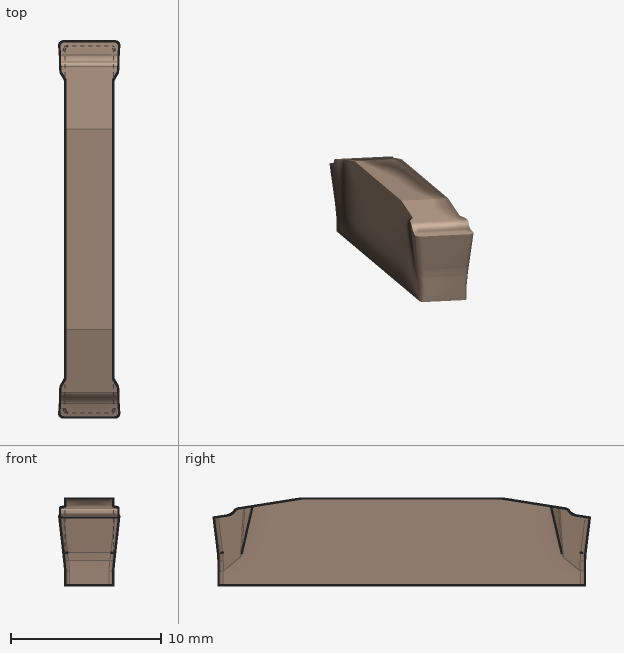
import cadquery as cq
import math


overall_length = 25.02
overall_height = 5.79
cutting_width = 4.0
body_width = 3.2

top_flat_length = 13.34
top_slope = math.tan(math.radians(9))
step_start_y = 10.83
step_inflection_y = 11.13
step_end_y = 11.58

cutting_edge_height = 4.52
end_relief = math.radians(7)
relief_bottom = 2.18
relief_blend_bottom = 1.66
corner_radius = 0.3

flank_back_slope = math.tan(math.radians(4.75))
head_root_y = 10.69
head_root_z = 1.91

neck_flare_slope = math.tan(math.radians(59))
neck_back_slope = 0.23
neck_edge_radius = 0.2

trim_allowance = 1.0

selection_tolerance = 0.05

half_length = overall_length / 2
half_body_width = body_width / 2
relief_y = half_length - (cutting_edge_height - relief_bottom) * math.tan(end_relief)
base_end_y = relief_y - (relief_bottom - relief_blend_bottom) * math.tan(end_relief / 2)

widest_y = half_length - corner_radius
widest_z = cutting_edge_height + corner_radius * top_slope
flank_drop = cutting_width / 2 - half_body_width - flank_back_slope * (widest_y - head_root_y)
flank_drop_slope = flank_drop / (widest_z - head_root_z)


def half_profile():
    """Outline of the +Y half in the YZ plane."""
    flat_end_y = top_flat_length / 2
    step_start_z = overall_height - (step_start_y - flat_end_y) * top_slope
    step_end_z = cutting_edge_height + (half_length - step_end_y) * top_slope
    inflection_share = (step_end_y - step_inflection_y) / (step_end_y - step_start_y)
    inflection_z = step_end_z + inflection_share * (step_start_z - step_end_z)
    return (
        cq.Workplane("YZ")
        .moveTo(0, 0)
        .lineTo(0, overall_height)
        .lineTo(flat_end_y, overall_height)
        .lineTo(step_start_y, step_start_z)
        .tangentArcPoint((step_inflection_y, inflection_z), relative=False)
        .tangentArcPoint((step_end_y, step_end_z), relative=False)
        .lineTo(half_length, cutting_edge_height)
        .lineTo(relief_y, relief_bottom)
        .tangentArcPoint((base_end_y, relief_blend_bottom), relative=False)
        .lineTo(base_end_y, 0)
        .close()
    )


def flank_x(y, z):
    """Half width of the head on its flank plane."""
    return (
        cutting_width / 2
        + flank_back_slope * (y - widest_y)
        + flank_drop_slope * (z - widest_z)
    )


def neck_y(x, z):
    """Y of the neck plane; it meets the body side and the flank at the head root."""
    return (
        head_root_y
        - neck_back_slope * (z - head_root_z)
        + neck_flare_slope * (x - half_body_width)
    )


def neck_edge(z):
    """Point at height z where the neck plane meets the flank plane."""
    y = neck_y(flank_x(0, z), z) / (1 - neck_flare_slope * flank_back_slope)
    return (flank_x(y, z), y)


def head_section(z):
    """Corners of the head blank at height z, ordered around the section."""
    outer_y = half_length + trim_allowance
    right_side = [neck_edge(z), (flank_x(outer_y, z), outer_y)]
    left_side = [(-x, y) for x, y in reversed(right_side)]
    return [(0, neck_y(0, z))] + right_side + left_side


def is_end_corner(edge):
    """True for the corner edges of the end face, which run down both of its sides."""
    middle = edge.Center()
    beyond_end = middle.y > base_end_y - selection_tolerance
    off_centre = abs(middle.x) > half_body_width / 2
    return beyond_end and off_centre


def round_end_corners(solid):
    corners = [edge for edge in solid.edges().vals() if is_end_corner(edge)]
    return solid.newObject(corners).fillet(corner_radius)


def half_body():
    return round_end_corners(half_profile().extrude(half_body_width, both=True))


def head():
    blank = (
        cq.Workplane("XY")
        .polyline(head_section(0))
        .close()
        .workplane(offset=overall_height)
        .polyline(head_section(overall_height))
        .close()
        .loft(ruled=True)
    )
    middle_z = overall_height / 2
    edge_x, edge_y = neck_edge(middle_z)
    for side in (-1, 1):
        edge_point = (side * edge_x, edge_y, middle_z)
        blank = blank.edges(cq.selectors.NearestToPointSelector(edge_point)).fillet(neck_edge_radius)
    full_width_profile = half_profile().extrude(cutting_width / 2 + trim_allowance, both=True)
    return round_end_corners(blank.intersect(full_width_profile))


half_insert = half_body().union(head())
result = half_insert.union(half_insert.mirror("XZ")).clean()